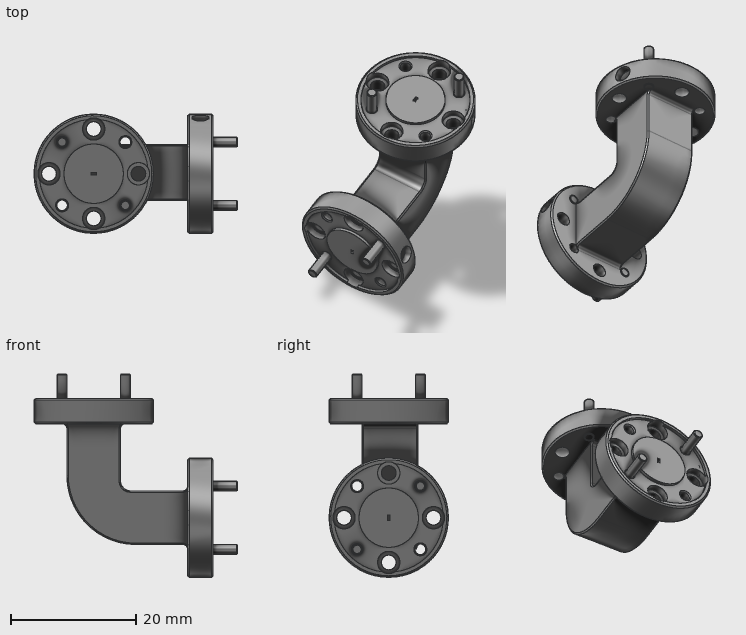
import cadquery as cq
import math

overall_length = 32.45
flange_diameter = 19.05
flange_thickness = 4.05
flange_chamfer = 0.25
face_offset = 19.05

boss_radius = 4.75
rim_inner_radius = 8.7
recess_depth = 0.5

hole_circle_radius = 7.15
bolt_hole_diameter = 2.35
counterbore_diameter = 3.57
counterbore_depth = 1.62
dowel_hole_diameter = 1.7
dowel_hole_chamfer = 0.2
side_hole_diameter = 2.73
side_hole_depth = 1.3
side_hole_angle = 110.0

pin_diameter = 1.6
pin_chamfer = 0.13
pin_hole_chamfer = 0.13
pin_angles = (135.0, 315.0)
dowel_hole_angles = (45.0, 225.0)
bolt_hole_angles = (0.0, 90.0, 180.0, 270.0)

arm_thickness = 8.57
arm_width = 8.9
arm_shift = 0.2
outer_bend_radius = 11.03
inner_bend_radius = 1.6
flange_fillet_radius = 0.75
arm_edge_chamfer = 0.23

guide_length = 0.85
guide_width = 0.45

flange_radius = flange_diameter / 2
flange_back = face_offset - flange_thickness
recess_floor = face_offset - recess_depth
counterbore_floor = face_offset - counterbore_depth
pin_end = overall_length - flange_radius
half_arm = arm_thickness / 2


def on_hole_circle(angle):
    """X and Y of a point on the hole circle of the upper flange."""
    radians = math.radians(angle)
    return hole_circle_radius * math.cos(radians), hole_circle_radius * math.sin(radians)


def turn_to_side(shape):
    """Turn a shape of the upper flange about the Y axis into its place on the side flange."""
    return shape.rotate((0, 0, 0), (0, 1, 0), 90)


def make_hole(angle, diameter, start, end):
    """Cutter for a round hole on the hole circle, between two heights."""
    return (
        cq.Workplane("XY", origin=(0, 0, start))
        .center(*on_hole_circle(angle))
        .circle(diameter / 2)
        .extrude(end - start)
    )


def make_countersink(angle, diameter, chamfer):
    """Cone cutter that chamfers the mouth of a hole at the recess floor."""
    x, y = on_hole_circle(angle)
    cone = cq.Solid.makeCone(
        diameter / 2, diameter / 2 + chamfer, chamfer, cq.Vector(x, y, recess_floor - chamfer)
    )
    return cq.Workplane(cone)


def make_flange_disc():
    """Upper flange disc with chamfered rims, before the cuts."""
    return (
        cq.Workplane("XY", origin=(0, 0, flange_back))
        .circle(flange_radius)
        .extrude(flange_thickness)
        .edges()
        .chamfer(flange_chamfer)
    )


def make_side_hole():
    """Cutter for the blind radial hole in the edge of the upper flange."""
    radians = math.radians(side_hole_angle)
    outward = cq.Vector(math.cos(radians), math.sin(radians), 0)
    mid_height = cq.Vector(0, 0, flange_back + flange_thickness / 2)
    bottom = mid_height + outward * (flange_radius - side_hole_depth)
    return cq.Workplane(
        cq.Solid.makeCylinder(side_hole_diameter / 2, 2 * side_hole_depth, bottom, outward)
    )


def make_flange():
    """Upper flange with its recess and all of its holes."""
    recess = (
        cq.Workplane("XY", origin=(0, 0, recess_floor))
        .circle(rim_inner_radius)
        .circle(boss_radius)
        .extrude(recess_depth)
    )
    flange = make_flange_disc().cut(recess).cut(make_side_hole())
    for angle in bolt_hole_angles:
        flange = flange.cut(make_hole(angle, bolt_hole_diameter, flange_back, face_offset))
        flange = flange.cut(make_hole(angle, counterbore_diameter, counterbore_floor, face_offset))
    for angle in dowel_hole_angles:
        flange = flange.cut(make_hole(angle, dowel_hole_diameter, flange_back, face_offset))
        flange = flange.cut(make_countersink(angle, dowel_hole_diameter, dowel_hole_chamfer))
    for angle in pin_angles:
        flange = flange.cut(make_hole(angle, pin_diameter, flange_back, face_offset))
        flange = flange.cut(make_countersink(angle, pin_diameter, pin_hole_chamfer))
    return flange


def make_elbow():
    """Rectangular elbow that flares into both flanges, chamfered along its two flat sides."""
    flare = half_arm + flange_fillet_radius
    flare_start = flange_back - flange_fillet_radius
    diagonal = flange_fillet_radius * math.sqrt(0.5)
    flare_mid = flare - diagonal
    flare_mid_along = flare_start + diagonal
    bend_start = outer_bend_radius - half_arm
    bend_mid = bend_start - outer_bend_radius * math.sqrt(0.5)
    corner_end = half_arm + inner_bend_radius
    corner_mid = corner_end - inner_bend_radius * math.sqrt(0.5)
    profile = (
        cq.Workplane("XZ", origin=(0, arm_shift + arm_width / 2, 0))
        .moveTo(-flare, flange_back)
        .threePointArc((-flare_mid, flare_mid_along), (-half_arm, flare_start))
        .lineTo(-half_arm, bend_start)
        .threePointArc((bend_mid, bend_mid), (bend_start, -half_arm))
        .lineTo(flare_start, -half_arm)
        .threePointArc((flare_mid_along, -flare_mid), (flange_back, -flare))
        .lineTo(flange_back, flare)
        .threePointArc((flare_mid_along, flare_mid), (flare_start, half_arm))
        .lineTo(corner_end, half_arm)
        .threePointArc((corner_mid, corner_mid), (half_arm, corner_end))
        .lineTo(half_arm, flare_start)
        .threePointArc((flare_mid, flare_mid_along), (flare, flange_back))
        .close()
    )
    return (
        profile.extrude(arm_width)
        .faces("|Y")
        .edges("not(>X or >Z)")
        .chamfer(arm_edge_chamfer)
    )


def make_guide():
    """Cutter for the rectangular passage: two straight runs that meet in a square corner."""
    upper_run = (
        cq.Workplane("XY", origin=(0, 0, -guide_length / 2))
        .rect(guide_length, guide_width)
        .extrude(face_offset + guide_length / 2)
    )
    return upper_run.union(turn_to_side(upper_run))


def make_pin(angle):
    """Dowel pin of the upper flange, from the back of the flange to its free end."""
    return make_hole(angle, pin_diameter, flange_back, pin_end).edges().chamfer(pin_chamfer)


upper_flange = make_flange()
housing = make_elbow().union(upper_flange).union(turn_to_side(upper_flange)).cut(make_guide())

pins = []
for pin_angle in pin_angles:
    upper_pin = make_pin(pin_angle)
    pins.append(upper_pin.val())
    pins.append(turn_to_side(upper_pin).val())

result = cq.Compound.makeCompound([housing.val(), *pins])